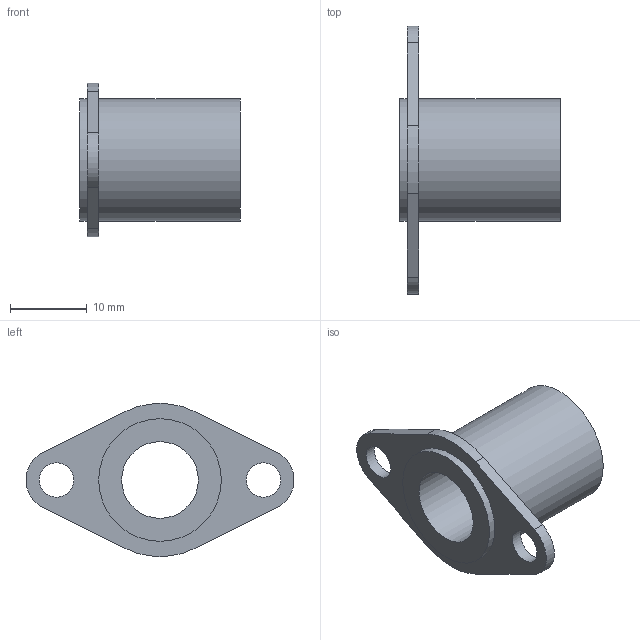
import cadquery as cq
import math

tube_length = 21.0
tube_diameter = 16.0
bore_diameter = 10.0

flange_offset = 1.0
flange_thickness = 1.5
flange_center_radius = 10.0
flange_end_radius = 4.0
hole_spacing = 27.0
hole_diameter = 4.5


def flange_outline():
    """Central arc and two end arcs, joined by their common tangent lines."""
    hole_y = hole_spacing / 2
    tangent_sin = (flange_center_radius - flange_end_radius) / hole_y
    tangent_cos = math.sqrt(1 - tangent_sin**2)
    center_y = flange_center_radius * tangent_sin
    center_z = flange_center_radius * tangent_cos
    end_y = hole_y + flange_end_radius * tangent_sin
    end_z = flange_end_radius * tangent_cos
    tip_y = hole_y + flange_end_radius
    return (
        cq.Workplane("YZ", origin=(flange_offset, 0, 0))
        .moveTo(-center_y, center_z)
        .threePointArc((0, flange_center_radius), (center_y, center_z))
        .lineTo(end_y, end_z)
        .threePointArc((tip_y, 0), (end_y, -end_z))
        .lineTo(center_y, -center_z)
        .threePointArc((0, -flange_center_radius), (-center_y, -center_z))
        .lineTo(-end_y, -end_z)
        .threePointArc((-tip_y, 0), (-end_y, end_z))
        .close()
    )


def make_flange():
    """Flange plate with its two mounting holes."""
    holes = (
        cq.Workplane("YZ", origin=(flange_offset, 0, 0))
        .pushPoints([(-hole_spacing / 2, 0), (hole_spacing / 2, 0)])
        .circle(hole_diameter / 2)
        .extrude(flange_thickness)
    )
    return flange_outline().extrude(flange_thickness).cut(holes)


def make_cylinder(diameter):
    """Cylinder on the X axis, over the full length of the tube."""
    return cq.Workplane("YZ").circle(diameter / 2).extrude(tube_length)


result = make_cylinder(tube_diameter).union(make_flange()).cut(make_cylinder(bore_diameter))